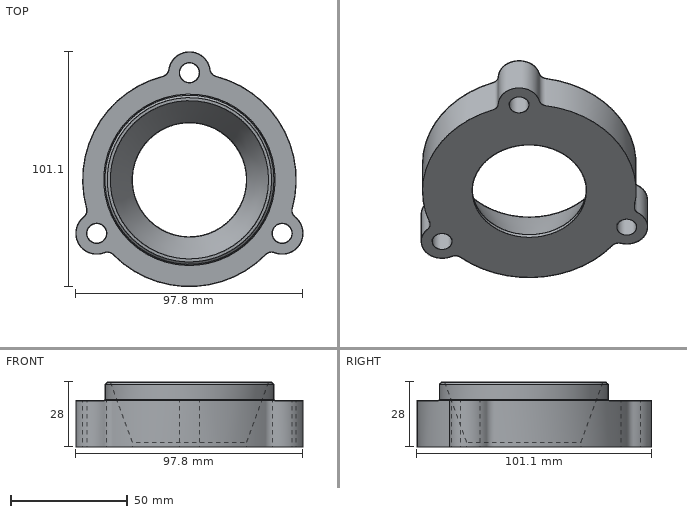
import cadquery as cq
import math

body_radius = 46.0
flange_height = 20.0
lug_count = 3
lug_circle_radius = 46.1
lug_radius = 9.0
lug_hole_diameter = 8.5
lug_blend_radius = 3.5
lug_angles = [math.radians(90 + i * 360 / lug_count) for i in range(lug_count)]

total_height = 28.0
spigot_radius = 36.4
spigot_chamfer = 1.0
spigot_base_chamfer = 0.5

bore_radius = 24.5
mouth_radius = 34.0
land_height = 2.0


def lug_points():
    """Lug centres, equally spaced about the axis."""
    return [(lug_circle_radius * math.cos(a), lug_circle_radius * math.sin(a)) for a in lug_angles]


def make_flange():
    """Round body with three lugs blended into its rim."""
    body = cq.Workplane("XY").circle(body_radius).extrude(flange_height)
    lugs = cq.Workplane("XY").pushPoints(lug_points()).circle(lug_radius).extrude(flange_height)
    half_angle = math.acos(
        (body_radius**2 + lug_circle_radius**2 - lug_radius**2) / (2 * body_radius * lug_circle_radius)
    )
    flange = body.union(lugs)
    for lug_angle in lug_angles:
        for side in (-1, 1):
            angle = lug_angle + side * half_angle
            corner = (body_radius * math.cos(angle), body_radius * math.sin(angle), flange_height / 2)
            flange = flange.edges(cq.NearestToPointSelector(corner)).fillet(lug_blend_radius)
    return flange


def make_spigot():
    """Raised ring with a chamfered rim and a small sloped foot."""
    profile = [
        (0, 0),
        (spigot_radius + spigot_base_chamfer, 0),
        (spigot_radius + spigot_base_chamfer, flange_height),
        (spigot_radius, flange_height + spigot_base_chamfer),
        (spigot_radius, total_height - spigot_chamfer),
        (spigot_radius - spigot_chamfer, total_height),
        (0, total_height),
    ]
    return cq.Workplane("XZ").polyline(profile).close().revolve(360, (0, 0), (0, 1))


def make_bore():
    """Through bore that widens from the land to the mouth."""
    profile = [
        (0, 0),
        (bore_radius, 0),
        (bore_radius, land_height),
        (mouth_radius, total_height),
        (0, total_height),
    ]
    return cq.Workplane("XZ").polyline(profile).close().revolve(360, (0, 0), (0, 1))


def make_lug_holes():
    """Plain through holes concentric with the lugs."""
    holes = cq.Workplane("XY").pushPoints(lug_points())
    return holes.circle(lug_hole_diameter / 2).extrude(flange_height)


result = make_flange().union(make_spigot()).cut(make_bore()).cut(make_lug_holes())